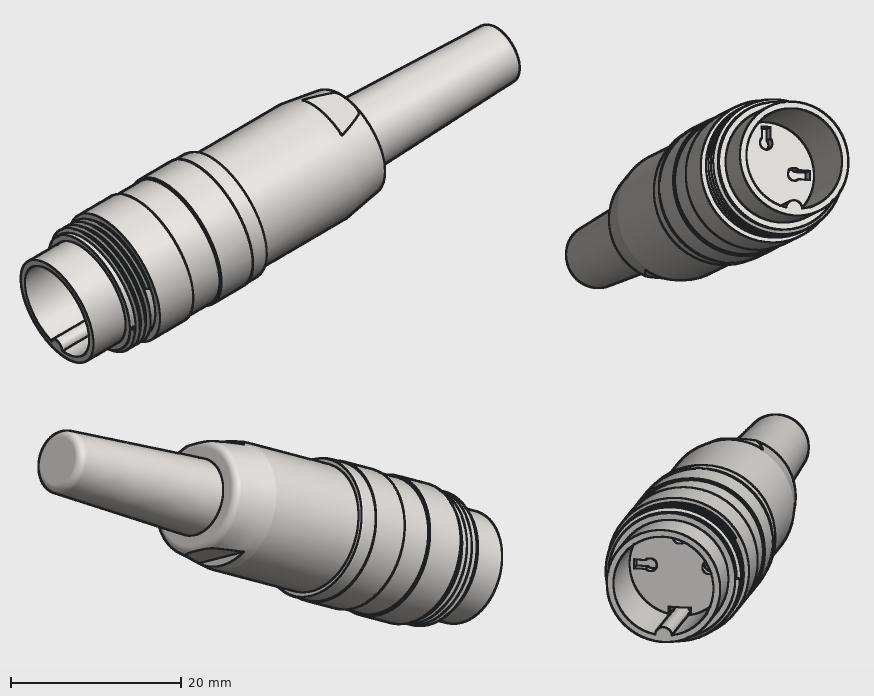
import cadquery as cq
import math

TOTAL_LENGTH = 67.4

TUBE_DIA = 13.6
BORE_DIA = 12.0
BORE_DEPTH = 9.45

KEY_TOP = -5.0
KEY_DIA = 2.0
NOTCH_HALF_WIDTH = 1.35
NOTCH_DEPTH = 1.35

CONTACT_RADIUS = 3.5
CONTACT_DIA = 1.55
CONTACT_SLOT_WIDTH = 1.1
CONTACT_SLOT_END = 5.45
CONTACT_DEPTH = 1.35
CONTACT_ANGLES = (0, 90, 180)

THREAD_START = 4.85
THREAD_END = 8.7
THREAD_ROOT_DIA = 15.2
THREAD_CREST_DIA = 16.2
THREAD_PITCH = 0.8
THREAD_FLANK_WIDTH = 0.7
THREAD_ROOT_OVERLAP = 0.1

SLEEVE_DIA = 17.0
BAND_START = 13.75
BAND_END = 18.0
BAND_DIA = 16.6
BAND_STEP = 0.15
COLLAR_START = 22.8
COLLAR_DIA = 16.8
RIM_START = 24.7
SLEEVE_END = 25.0
RIM_DIA = 16.6

HOUSING_DIA = 15.5
SHOULDER_START = 38.7
SHOULDER_END = 44.5
SHOULDER_END_DIA = 13.6
SHOULDER_ROUND = 0.95
FLAT_START = 40.1
FLAT_HEIGHT = 6.55

BOOT_BASE_DIA = 9.3
BOOT_TIP_DIA = 7.55
BOOT_ROUND = 0.95


def revolve_profile(points):
    """Revolve a (radius, y) outline around the Y axis."""
    return cq.Workplane("XY").polyline(points).close().revolve(360, (0, 0), (0, 1))


def box_between(x_range, y_range, z_range):
    """Axis-aligned box given by its limits on each axis."""
    corner = cq.Vector(x_range[0], y_range[0], z_range[0])
    sizes = [limits[1] - limits[0] for limits in (x_range, y_range, z_range)]
    return cq.Workplane(cq.Solid.makeBox(*sizes, corner))


def front_body():
    """Socket tube, thread core and coupling sleeve."""
    tube_r = TUBE_DIA / 2
    root_r = THREAD_ROOT_DIA / 2
    sleeve_r = SLEEVE_DIA / 2
    collar_r = COLLAR_DIA / 2
    band_r = BAND_DIA / 2
    return revolve_profile([
        (0, 0),
        (tube_r, 0),
        (tube_r, THREAD_START),
        (root_r, THREAD_START),
        (root_r, THREAD_END),
        (sleeve_r, THREAD_END),
        (sleeve_r, BAND_START),
        (band_r, BAND_START + BAND_STEP),
        (band_r, BAND_END - BAND_STEP),
        (sleeve_r, BAND_END),
        (sleeve_r, COLLAR_START),
        (collar_r, COLLAR_START),
        (collar_r, RIM_START),
        (RIM_DIA / 2, SLEEVE_END),
        (0, SLEEVE_END),
    ])


def housing():
    """Cylindrical rear housing, its rounded tapered shoulder and two flats."""
    housing_r = HOUSING_DIA / 2
    body = revolve_profile([
        (0, SLEEVE_END),
        (housing_r, SLEEVE_END),
        (housing_r, SHOULDER_START),
        (SHOULDER_END_DIA / 2, SHOULDER_END),
        (0, SHOULDER_END),
    ]).faces(">Y").edges().fillet(SHOULDER_ROUND)
    for side in (-1, 1):
        z_range = sorted((side * FLAT_HEIGHT, side * HOUSING_DIA))
        body = body.cut(box_between((-housing_r, housing_r), (FLAT_START, SHOULDER_END), z_range))
    return body


def boot():
    """Tapered strain relief with a rounded tip."""
    return revolve_profile([
        (0, SHOULDER_END),
        (BOOT_BASE_DIA / 2, SHOULDER_END),
        (BOOT_TIP_DIA / 2, TOTAL_LENGTH),
        (0, TOTAL_LENGTH),
    ]).faces(">Y").edges().fillet(BOOT_ROUND)


def thread_ridge():
    """Helical V-shaped ridge whose base sinks slightly into the thread core."""
    base_r = THREAD_ROOT_DIA / 2 - THREAD_ROOT_OVERLAP
    crest_r = THREAD_CREST_DIA / 2
    half_width = THREAD_FLANK_WIDTH / 2
    helix_length = THREAD_END - THREAD_START - THREAD_FLANK_WIDTH
    helix = cq.Wire.makeHelix(THREAD_PITCH, helix_length, base_r)
    ridge = (
        cq.Workplane("XZ")
        .polyline([(base_r, -half_width), (crest_r, 0), (base_r, half_width)])
        .close()
        .sweep(cq.Workplane(helix), isFrenet=True)
    )
    return ridge.rotate((0, 0, 0), (1, 0, 0), -90).translate((0, THREAD_START + half_width, 0))


def contact_opening(angle):
    """Keyhole recess in the insert face, turned to one contact position."""
    depth_range = (BORE_DEPTH, BORE_DEPTH + CONTACT_DEPTH)
    half_slot = CONTACT_SLOT_WIDTH / 2
    hole = (
        cq.Workplane("XZ", origin=(0, BORE_DEPTH, 0))
        .center(CONTACT_RADIUS, 0)
        .circle(CONTACT_DIA / 2)
        .extrude(-CONTACT_DEPTH)
    )
    slot = box_between((CONTACT_RADIUS, CONTACT_SLOT_END), depth_range, (-half_slot, half_slot))
    return hole.union(slot).rotate((0, 0, 0), (0, 1, 0), -angle)


def polarising_key():
    """Round-topped rib along the bottom of the bore, from the mouth to the notch floor."""
    rib = (
        cq.Workplane("XZ")
        .center(0, KEY_TOP - KEY_DIA / 2)
        .circle(KEY_DIA / 2)
        .extrude(-(BORE_DEPTH + NOTCH_DEPTH))
    )
    tube_envelope = cq.Workplane("XZ").circle(TUBE_DIA / 2).extrude(-(BORE_DEPTH + NOTCH_DEPTH))
    return rib.intersect(tube_envelope)


def socket_cavity():
    """Bore plus the key notch and contact openings in its floor."""
    bore_r = BORE_DIA / 2
    notch_end = BORE_DEPTH + NOTCH_DEPTH
    notch_bottom = -math.sqrt(bore_r**2 - NOTCH_HALF_WIDTH**2)
    cavity = cq.Workplane("XZ").circle(bore_r).extrude(-BORE_DEPTH)
    cavity = cavity.union(box_between(
        (-NOTCH_HALF_WIDTH, NOTCH_HALF_WIDTH), (BORE_DEPTH, notch_end), (notch_bottom, KEY_TOP)
    ))
    for angle in CONTACT_ANGLES:
        cavity = cavity.union(contact_opening(angle))
    return cavity


body = front_body().union(housing()).union(boot())
body = body.cut(socket_cavity()).union(polarising_key())
result = body.union(thread_ridge())